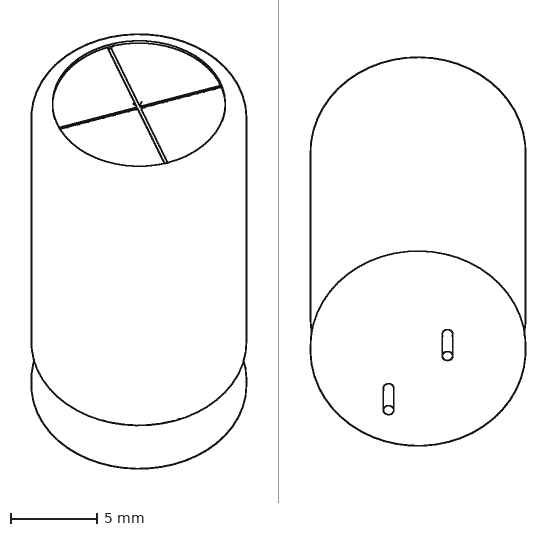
import cadquery as cq
import math

can_radius = 12.5 / 2
can_height = 25.0
edge_radius = 1.25

neck_z = 3.27
neck_radius = 0.77
shoulder_radius = 1.25
shoulder_offset = 1.62

lid_radius = can_radius - edge_radius
lid_depth = 0.2
groove_floor_width = 0.2
groove_edge_radius = 0.2

lead_diameter = 0.6
lead_pitch = 5.0
lead_length = 27.5 - can_height


def make_can():
    """Revolve the crimped outline about Z."""
    center_distance = neck_radius + shoulder_radius
    tilt = math.asin(shoulder_offset / center_distance)
    shoulder_x = can_radius - shoulder_radius
    neck_x = shoulder_x + center_distance * math.cos(tilt)

    def shoulder_point(side, angle):
        x = shoulder_x + shoulder_radius * math.cos(angle)
        z = neck_z + side * (shoulder_offset - shoulder_radius * math.sin(angle))
        return x, z

    corner_mid = edge_radius * math.sqrt(0.5)
    corner_x = can_radius - edge_radius
    top_corner_z = can_height - edge_radius
    return (
        cq.Workplane("XZ")
        .lineTo(corner_x, 0)
        .threePointArc((corner_x + corner_mid, edge_radius - corner_mid), (can_radius, edge_radius))
        .lineTo(*shoulder_point(-1, 0))
        .threePointArc(shoulder_point(-1, tilt / 2), shoulder_point(-1, tilt))
        .threePointArc((neck_x - neck_radius, neck_z), shoulder_point(1, tilt))
        .threePointArc(shoulder_point(1, tilt / 2), shoulder_point(1, 0))
        .lineTo(can_radius, top_corner_z)
        .threePointArc((corner_x + corner_mid, top_corner_z + corner_mid), (corner_x, can_height))
        .lineTo(0, can_height)
        .close()
        .revolve(360, (0, 0, 0), (0, 1, 0))
    )


def make_lid_recess():
    """Shallow disc with a cross of round-edged grooves below its floor."""
    floor_z = can_height - lid_depth
    recess = cq.Workplane("XY", origin=(0, 0, floor_z)).circle(lid_radius).extrude(lid_depth)
    half_floor = groove_floor_width / 2
    half_width = half_floor + groove_edge_radius
    bottom_z = floor_z - groove_edge_radius
    arc_offset = groove_edge_radius * math.sqrt(0.5)
    arc_x = half_width - arc_offset
    arc_z = bottom_z + arc_offset
    for plane in ("XZ", "YZ"):
        groove = (
            cq.Workplane(plane)
            .moveTo(-half_width, floor_z)
            .threePointArc((-arc_x, arc_z), (-half_floor, bottom_z))
            .lineTo(half_floor, bottom_z)
            .threePointArc((arc_x, arc_z), (half_width, floor_z))
            .close()
            .extrude(lid_radius, both=True)
        )
        recess = recess.union(groove)
    return recess


def make_leads():
    """Two round leads along X below the can."""
    return (
        cq.Workplane("XY")
        .pushPoints([(-lead_pitch / 2, 0), (lead_pitch / 2, 0)])
        .circle(lead_diameter / 2)
        .extrude(-lead_length)
    )


result = make_can().cut(make_lid_recess()).union(make_leads())